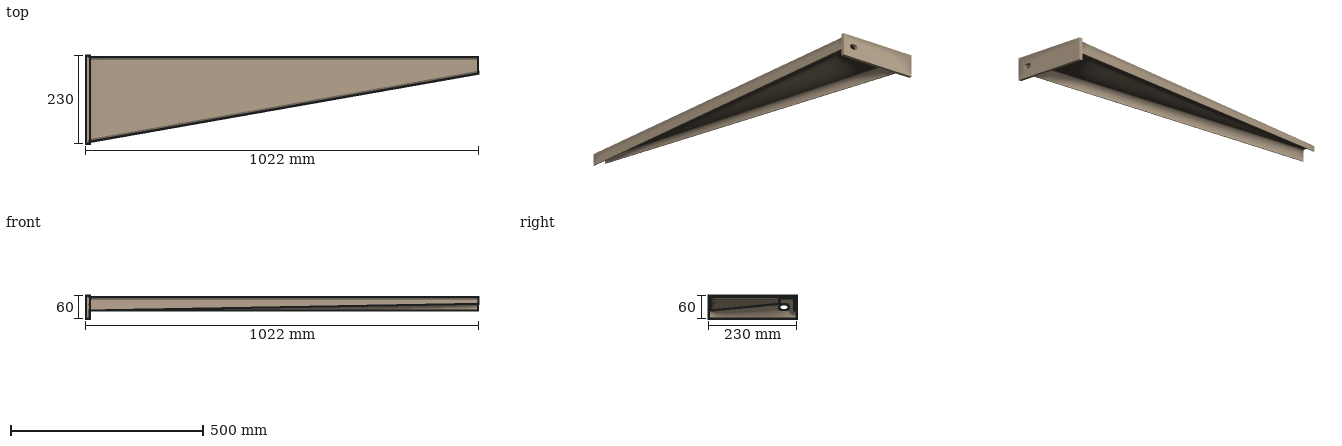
import cadquery as cq
import math

total_length = 1022.0
plate_thickness = 10.0
plate_width = 230.0
plate_height = 60.0

slot_length = 25.0
slot_height = 14.0
slot_from_back = 34.0

arm_inset = 4.0
arm_height = 35.0
root_width = 221.0
tip_width = 43.0
tip_flange_height = 17.0
sheet_thickness = 3.0
bend_radius = 6.0
end_overrun = 10.0

arm_back = plate_width / 2 - arm_inset
arm_top = plate_height - arm_inset
arm_bottom = arm_top - arm_height
front_angle = math.atan((root_width - tip_width) / (total_length - plate_thickness))
end_shift = bend_radius * math.sin(front_angle)
web_end = total_length - end_shift
flange_start = plate_thickness + end_shift


def front_edge(x, inset=0.0):
    """Y of the slanting front face at x, moved inwards by the inset."""
    outer = arm_back - root_width + (x - plate_thickness) * math.tan(front_angle)
    return outer + inset / math.cos(front_angle)


def make_end_plate():
    plate = cq.Workplane("XY").box(
        plate_thickness, plate_width, plate_height, centered=(False, True, False)
    )
    slot = (
        cq.Workplane("YZ")
        .center(plate_width / 2 - slot_from_back, plate_height / 2)
        .slot2D(slot_length, slot_height)
        .extrude(plate_thickness)
    )
    return plate.cut(slot)


def rounded_wedge(start, end, inset, top):
    """Tapering block with its two long upper edges rounded."""
    outline = [
        (start, arm_back - inset),
        (end, arm_back - inset),
        (end, front_edge(end, inset)),
        (start, front_edge(start, inset)),
    ]
    block = cq.Workplane("XY").workplane(offset=arm_bottom).polyline(outline).close()
    block = block.extrude(top - arm_bottom)
    return block.faces(">Z").edges("not |Y").fillet(bend_radius - inset)


def fold_y(x):
    """Y of the line where the flat web meets the front fold."""
    return front_edge(x, bend_radius)


def arm_footprint():
    """Plan of the arm, with both ends of the front flange square to its run."""
    outline = [
        (plate_thickness, arm_back),
        (web_end, arm_back),
        (web_end, fold_y(web_end)),
        (total_length, front_edge(total_length)),
        (flange_start, front_edge(flange_start)),
        (plate_thickness, fold_y(plate_thickness)),
    ]
    return cq.Workplane("XY").polyline(outline).close().extrude(plate_height)


def flange_taper_cutter():
    """Wedge under the front flange, which gets shallower towards the tip."""
    middle_of_tip = arm_back - tip_width / 2
    profile = [
        (plate_thickness, arm_bottom),
        (total_length, arm_top - tip_flange_height),
        (total_length, arm_bottom),
    ]
    cutter = cq.Workplane("XZ").polyline(profile).close().extrude(plate_width)
    return cutter.translate((0, middle_of_tip, 0))


def make_arm():
    """Hollow tapering channel, built over-long and trimmed to its plan."""
    outside = rounded_wedge(0, total_length + end_overrun, 0, arm_top)
    inside = rounded_wedge(
        -end_overrun, total_length + 2 * end_overrun, sheet_thickness, arm_top - sheet_thickness
    )
    channel = outside.cut(inside)
    return channel.intersect(arm_footprint()).cut(flange_taper_cutter())


end_plate = make_end_plate()
arm = make_arm()

result = cq.Compound.makeCompound([end_plate.val(), arm.val()])